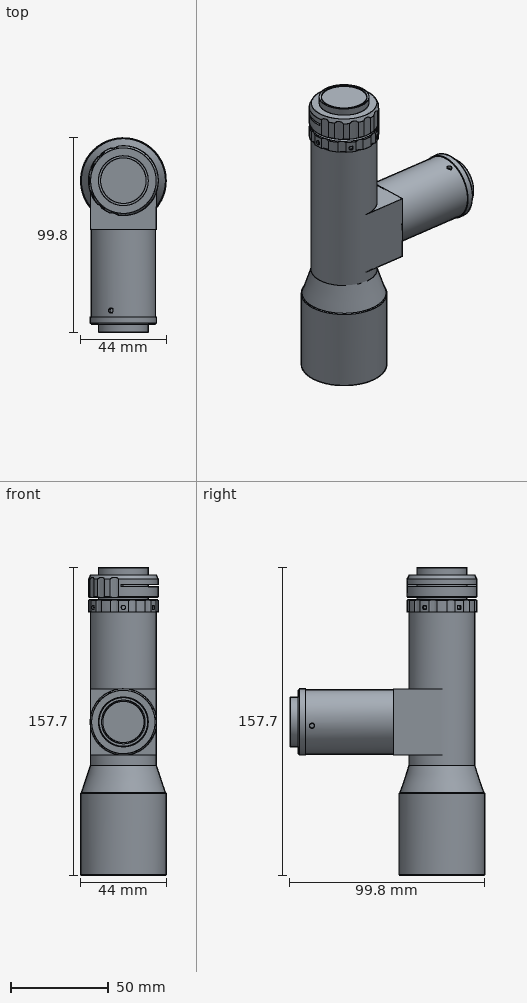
import cadquery as cq
import math

base_diameter = 44.0
base_radius = base_diameter / 2
total_height = 157.7
base_height = 42.6
base_chamfer = 0.5
tube_diameter = 33.9
tube_radius = tube_diameter / 2
cone_top = 56.3

arm_height = 78.7
block_front = 24.9
arm_radius = 16.5
collar_radius = 17.0
collar_start = 69.9
collar_end = 73.7
collar_chamfer = 0.8
overall_depth = 99.8
arm_end = overall_depth - base_radius
arm_recess_radius = 11.2
arm_recess_floor_radius = 10.5
arm_recess_depth = 0.8

nub_radius = 12.8
nub_chamfer = 0.3
top_recess_radius = 11.7
top_recess_depth = 0.5

ring_diameter = 35.8
ring_radius = ring_diameter / 2
ring_edge_chamfer = 0.5
clamp_bottom = 135.2
clamp_top = 141.3
grip_bottom = 142.4
grip_top = 154.1
grip_bevel_width = 1.1
grip_bevel_height = 2.2

groove_depth = 0.5
grip_groove_floor_width = 2.2
grip_groove_mouth_width = 4.5
clamp_groove_floor_width = 1.7
clamp_groove_mouth_width = 4.1
grip_groove_count = 7
grip_groove_step = 25
clamp_groove_count = 12

slit_bottom = 148.1
slit_height = 1.0
slit_apex_x = 2.8
slit_wall_lean = 13

clamp_screw_radius = 1.1
arm_screw_radius = 1.3
screw_depth = 1.9
clamp_screw_count = 6
clamp_screw_height = 137.4
arm_screw_count = 3
arm_screw_place = 66.5
arm_screw_start_angle = 23


def make_tube():
    """Turned base, cone, tube, neck and recessed top nub."""
    base_face_radius = base_radius - base_chamfer
    floor = total_height - top_recess_depth
    profile = [
        (0, 0),
        (base_face_radius, 0),
        (base_radius, base_chamfer),
        (base_radius, base_height - base_chamfer),
        (base_face_radius, base_height),
        (tube_radius, cone_top),
        (tube_radius, clamp_top),
        (nub_radius, clamp_top),
        (nub_radius, total_height),
        (top_recess_radius, total_height),
        (top_recess_radius, floor),
        (0, floor),
    ]
    return cq.Workplane("XZ").polyline(profile).close().revolve(360, (0, 0), (0, 1))


def make_arm():
    """Square block and turned arm; the arm profile is drawn as (distance along -Y, radius)."""
    block = cq.Workplane("XY").box(tube_diameter, block_front, tube_diameter)
    block = block.translate((0, -block_front / 2, arm_height))
    floor = arm_end - arm_recess_depth
    profile = [
        (0, 0),
        (arm_radius, 0),
        (arm_radius, collar_start),
        (collar_radius, collar_start),
        (collar_radius, collar_end - collar_chamfer),
        (collar_radius - collar_chamfer, collar_end),
        (nub_radius, collar_end),
        (nub_radius, arm_end - nub_chamfer),
        (nub_radius - nub_chamfer, arm_end),
        (arm_recess_radius, arm_end),
        (arm_recess_floor_radius, floor),
        (0, floor),
    ]
    points = [(radius, -distance) for radius, distance in profile]
    arm = cq.Workplane("XY").polyline(points).close().revolve(360, (0, 0), (0, 1))
    return block.union(arm.translate((0, 0, arm_height)))


def cut_grooves(ring, floor_width, mouth_width, angles):
    """Cut a groove over the full height of a ring, centred on each angle."""
    floor_place = ring_radius - groove_depth
    mouth_place = math.sqrt(ring_radius ** 2 - (mouth_width / 2) ** 2)
    flank_run = (mouth_width - floor_width) / 2
    outer_place = 2 * mouth_place - floor_place
    outer_half_width = mouth_width / 2 + flank_run
    section = [
        (floor_place, -floor_width / 2),
        (outer_place, -outer_half_width),
        (outer_place, outer_half_width),
        (floor_place, floor_width / 2),
    ]
    groove = cq.Workplane("XY").polyline(section).close().extrude(total_height)
    for angle in angles:
        ring = ring.cut(groove.rotate((0, 0, 0), (0, 0, 1), angle))
    return ring


def make_grip_ring():
    """Ring with grooves on its -X half, bevelled ends and a slit in its +X half."""
    middle = (grip_groove_count - 1) / 2
    angles = [180 + (i - middle) * grip_groove_step for i in range(grip_groove_count)]
    profile = [
        (0, grip_bottom),
        (ring_radius - ring_edge_chamfer, grip_bottom),
        (ring_radius, grip_bottom + ring_edge_chamfer),
        (ring_radius, grip_top - grip_bevel_height),
        (ring_radius - grip_bevel_width, grip_top),
        (0, grip_top),
    ]
    ring = cq.Workplane("XZ").polyline(profile).close().revolve(360, (0, 0), (0, 1))
    ring = cut_grooves(ring, grip_groove_floor_width, grip_groove_mouth_width, angles)

    reach = ring_diameter
    wall_end_x = slit_apex_x - reach * math.tan(math.radians(slit_wall_lean))
    sector = [
        (slit_apex_x, 0),
        (wall_end_x, -reach),
        (reach, -reach),
        (reach, reach),
        (wall_end_x, reach),
    ]
    slit_plane = cq.Workplane("XY").workplane(offset=slit_bottom)
    slit = slit_plane.polyline(sector).close().extrude(slit_height)
    core = slit_plane.circle(nub_radius).extrude(slit_height)
    return ring.cut(slit.cut(core))


def make_clamp_ring():
    """Ring grooved all round, with set screw holes in every other land."""
    step = 360 / clamp_groove_count
    angles = [(i + 0.5) * step for i in range(clamp_groove_count)]
    ring = (
        cq.Workplane("XY").workplane(offset=clamp_bottom).circle(ring_radius)
        .extrude(clamp_top - clamp_bottom).faces(">Z").chamfer(ring_edge_chamfer)
    )
    ring = cut_grooves(ring, clamp_groove_floor_width, clamp_groove_mouth_width, angles)
    hole = (
        cq.Workplane("XZ").workplane(offset=ring_radius - screw_depth).center(0, clamp_screw_height)
        .circle(clamp_screw_radius).extrude(2 * screw_depth)
    )
    for i in range(clamp_screw_count):
        ring = ring.cut(hole.rotate((0, 0, 0), (0, 0, 1), i * 360 / clamp_screw_count))
    return ring


def arm_screw_holes():
    """Blind holes spaced evenly around the arm, just behind its collar."""
    hole = (
        cq.Workplane("XY").workplane(offset=arm_height + arm_radius - screw_depth)
        .center(0, -arm_screw_place).circle(arm_screw_radius).extrude(2 * screw_depth)
    )
    axis_start = (0, 0, arm_height)
    axis_end = (0, -1, arm_height)
    holes = cq.Workplane("XY")
    for i in range(arm_screw_count):
        angle = arm_screw_start_angle + i * 360 / arm_screw_count
        holes = holes.add(hole.rotate(axis_start, axis_end, angle))
    return holes.combine()


tube = make_tube()
arm = make_arm().cut(arm_screw_holes())
result = tube.union(arm).union(make_grip_ring()).union(make_clamp_ring())